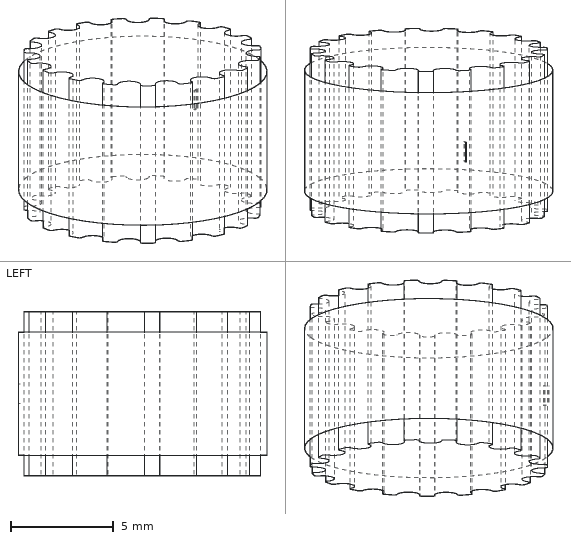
import cadquery as cq
import math

TOOTH_COUNT = 19
CORE_LENGTH = 8.0
CORE_RADIUS = 5.78
GROOVE_DEPTH = 0.75
GROOVE_RADIUS = 0.56
TIP_FILLET = 0.16
RADIUS_TOLERANCE = 0.001

SLEEVE_RADIUS = 6.05
SLEEVE_WALL = 0.01
SLEEVE_LENGTH = 6.0

KEY_WIDTH = 0.06
KEY_HEIGHT = 0.97
KEY_OVERLAP = 0.01


def make_core():
    """Cylinder with round-bottomed grooves, one of them facing -Y."""
    base = cq.Workplane("XY", origin=(0, 0, -CORE_LENGTH / 2))
    core = base.circle(CORE_RADIUS).extrude(CORE_LENGTH)
    groove_bottom = CORE_RADIUS - GROOVE_DEPTH
    arc_center = groove_bottom + GROOVE_RADIUS
    groove = (
        base.moveTo(-GROOVE_RADIUS, -SLEEVE_RADIUS)
        .lineTo(-GROOVE_RADIUS, -arc_center)
        .threePointArc((0, -groove_bottom), (GROOVE_RADIUS, -arc_center))
        .lineTo(GROOVE_RADIUS, -SLEEVE_RADIUS)
        .close()
        .extrude(CORE_LENGTH)
    )
    for index in range(TOOTH_COUNT):
        angle = index * 360 / TOOTH_COUNT
        core = core.cut(groove.rotate((0, 0, 0), (0, 0, 1), angle))

    corners = core.edges("|Z").filter(
        lambda edge: math.hypot(edge.Center().x, edge.Center().y) > CORE_RADIUS - RADIUS_TOLERANCE
    )
    return corners.fillet(TIP_FILLET)


def make_sleeve():
    """Thin tube, open at both ends."""
    return (
        cq.Workplane("XY", origin=(0, 0, -SLEEVE_LENGTH / 2))
        .circle(SLEEVE_RADIUS)
        .circle(SLEEVE_RADIUS - SLEEVE_WALL)
        .extrude(SLEEVE_LENGTH)
    )


def make_key():
    """Slim block bridging the gap from tooth crest to sleeve at mid-length."""
    inner = CORE_RADIUS - KEY_OVERLAP
    outer = SLEEVE_RADIUS - SLEEVE_WALL / 2
    key = cq.Workplane("XY").box(KEY_WIDTH, outer - inner, KEY_HEIGHT)
    return key.translate((0, (inner + outer) / 2, 0))


result = make_core().union(make_key()).union(make_sleeve())